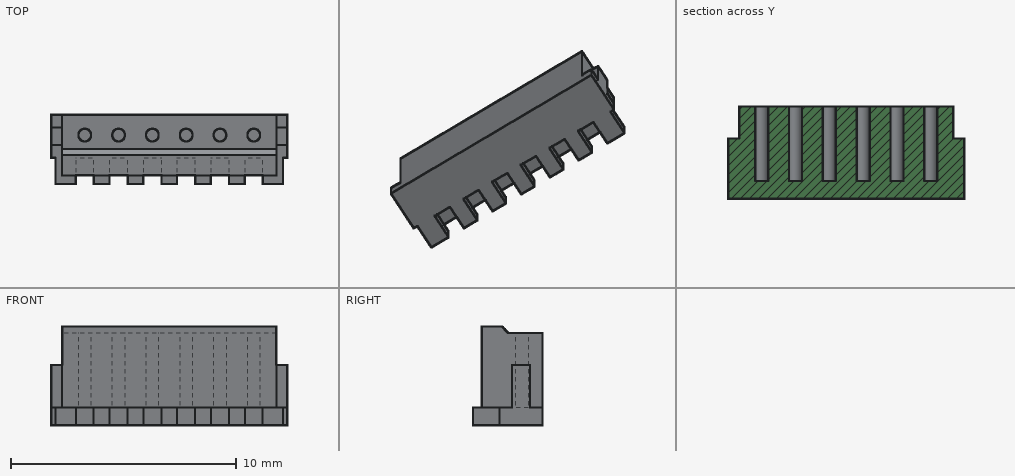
import cadquery as cq

length = 10.5
depth = 3.1
height = 4.4
contact_count = 6
contact_pitch = 1.5

base_height = 0.8
base_rear_depth = 1.92
base_front_length = 10.12
foot_gap = 0.8

housing_length = 9.51
housing_depth = 2.71
step_drop = 0.29
step_depth = 1.52
slope_depth = 0.28

rib_height = 2.69
rib_depth = 0.79
rib_back_offset = 0.57

hole_diameter = 0.57
hole_back_offset = 0.91

back_y = depth / 2
front_y = -depth / 2
base_step_y = back_y - base_rear_depth
step_z = height - step_drop
contact_xs = [
    (index - (contact_count - 1) / 2) * contact_pitch
    for index in range(contact_count)
]


def centered_block(x_center, x_size, y_front, y_back, z_top):
    """Block standing on the bottom plane, centred on x_center."""
    return (
        cq.Workplane("XY")
        .center(x_center, (y_front + y_back) / 2)
        .rect(x_size, y_back - y_front)
        .extrude(z_top)
    )


def make_base():
    base = centered_block(0, length, base_step_y, back_y, base_height)
    front = centered_block(0, base_front_length, front_y, base_step_y, base_height)
    for x in contact_xs:
        front = front.cut(centered_block(x, foot_gap, front_y, base_step_y, base_height))
    return base.union(front)


def make_housing():
    housing_front_y = back_y - housing_depth
    return (
        cq.Workplane("YZ")
        .moveTo(housing_front_y, base_height)
        .lineTo(housing_front_y, height)
        .lineTo(back_y - step_depth - slope_depth, height)
        .lineTo(back_y - step_depth, step_z)
        .lineTo(back_y, step_z)
        .lineTo(back_y, base_height)
        .close()
        .extrude(housing_length / 2, both=True)
    )


def make_end_ribs():
    rib_back_y = back_y - rib_back_offset
    return centered_block(0, length, rib_back_y - rib_depth, rib_back_y, rib_height)


def make_contact_holes():
    return (
        cq.Workplane("XY", origin=(0, 0, base_height))
        .pushPoints([(x, back_y - hole_back_offset) for x in contact_xs])
        .circle(hole_diameter / 2)
        .extrude(step_z - base_height)
    )


result = make_base().union(make_housing()).union(make_end_ribs()).cut(make_contact_holes())